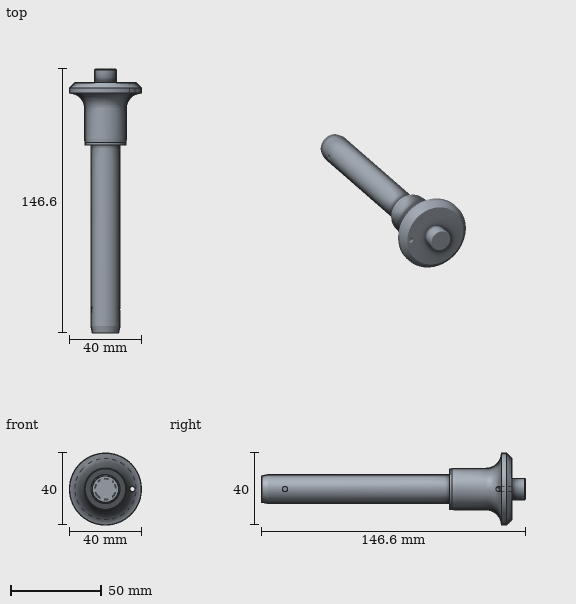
import cadquery as cq
import math

overall_length = 146.6
button_height = 7.5
flange_bevel_height = 3.1
flange_rim_height = 2.8
body_straight_length = 16.9
body_round_length = 2.0
collar_length = 1.5
tip_length = 3.7

button_diameter = 12.0
flange_diameter = 40.0
flange_face_diameter = 34.0
body_diameter = 23.2
collar_diameter = 22.6
shank_diameter = 16.1
tip_diameter = 14.7

button_chamfer = 0.5
body_round_depth = 0.1

lanyard_hole_diameter = 3.0
lanyard_hole_offset = 15.0
ball_pocket_diameter = 3.0
ball_pocket_depth = 0.7
ball_distance_from_tip = 13.0

button_radius = button_diameter / 2
flange_radius = flange_diameter / 2
flange_face_radius = flange_face_diameter / 2
body_radius = body_diameter / 2
body_end_radius = body_radius - body_round_depth
collar_radius = collar_diameter / 2
shank_radius = shank_diameter / 2
tip_radius = tip_diameter / 2
flare_radius = flange_radius - body_radius

button_y = overall_length / 2
tip_y = -overall_length / 2
flange_face_y = button_y - button_height
rim_top_y = flange_face_y - flange_bevel_height
rim_bottom_y = rim_top_y - flange_rim_height
flare_end_y = rim_bottom_y - flare_radius
round_start_y = flare_end_y - body_straight_length
round_end_y = round_start_y - body_round_length
collar_end_y = round_end_y - collar_length

flare_reach = flare_radius * math.sqrt(0.5)
flare_middle = (flange_radius - flare_reach, flare_end_y + flare_reach)


def turned_pin():
    """Revolve the half outline, in (radius, Y), about the Y axis."""
    return (
        cq.Workplane("XY")
        .moveTo(0, button_y)
        .lineTo(button_radius - button_chamfer, button_y)
        .lineTo(button_radius, button_y - button_chamfer)
        .lineTo(button_radius, flange_face_y)
        .lineTo(flange_face_radius, flange_face_y)
        .lineTo(flange_radius, rim_top_y)
        .lineTo(flange_radius, rim_bottom_y)
        .threePointArc(flare_middle, (body_radius, flare_end_y))
        .lineTo(body_radius, round_start_y)
        .tangentArcPoint((body_end_radius, round_end_y), relative=False)
        .lineTo(collar_radius, round_end_y)
        .lineTo(collar_radius, collar_end_y)
        .lineTo(shank_radius, collar_end_y)
        .lineTo(shank_radius, tip_y + tip_length)
        .lineTo(tip_radius, tip_y)
        .lineTo(0, tip_y)
        .close()
        .revolve(360, (0, 0, 0), (0, 1, 0))
    )


def lanyard_hole():
    """Hole parallel to the axis, through the flange beside the body."""
    return (
        cq.Workplane("XZ", origin=(lanyard_hole_offset, flange_face_y, 0))
        .circle(lanyard_hole_diameter / 2)
        .extrude(flange_face_y - flare_end_y)
    )


def ball_pocket(side):
    """Shallow round pocket in the shank on the +X (1) or -X (-1) side."""
    return (
        cq.Workplane("YZ", origin=(side * shank_radius, tip_y + ball_distance_from_tip, 0))
        .circle(ball_pocket_diameter / 2)
        .extrude(-side * ball_pocket_depth)
    )


result = turned_pin().cut(lanyard_hole())
for side in (-1, 1):
    result = result.cut(ball_pocket(side))